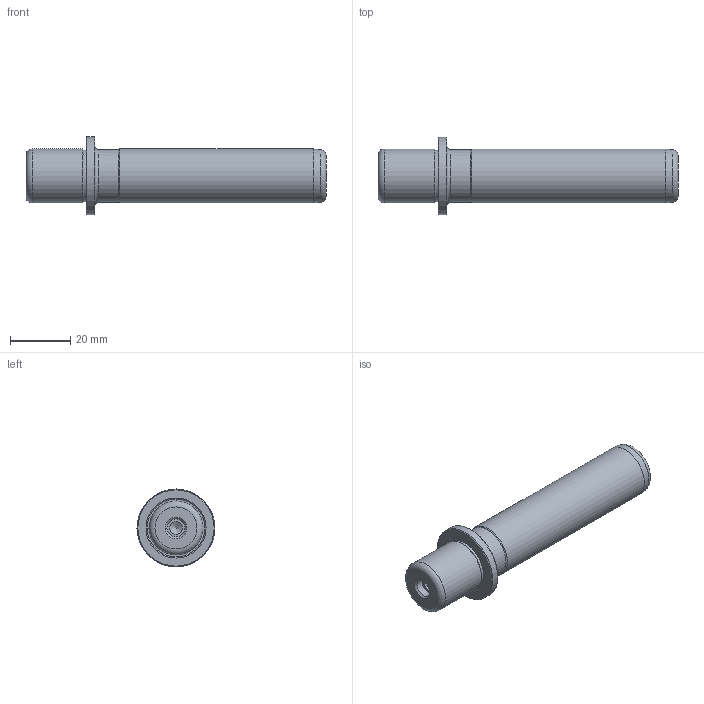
import cadquery as cq
import math

total_length = 100.0
flange_start = 20.0
flange_width = 3.0
flange_end = flange_start + flange_width
relief_length = 8.2
relief_end = flange_end + relief_length

shank_radius = 18.0 / 2
flange_radius = 26.0 / 2
relief_drop = 0.2
relief_radius = shank_radius - relief_drop

front_round = 2.0
flange_chamfer = 0.3

undercut_width = 1.0
undercut_depth = 0.4
undercut_slope = 0.3
face_recess_depth = 0.3
face_recess_inner_radius = 9.6
face_recess_outer_radius = 10.0

root_fillet = 1.0
step_slope = 0.4

lead_start = 95.8
lead_end = 98.2
lead_drop = 0.25
rear_round = total_length - lead_end

countersink_radius = 3.6
counterbore_radius = 3.0
counterbore_depth = 3.0
drill_radius = 2.1
drill_depth = 14.0
drill_point_angle = 118.0


def point_on_arc(center, radius, angle):
    """Point on a circle in the profile plane, angle in degrees."""
    return (
        center[0] + radius * math.cos(math.radians(angle)),
        center[1] + radius * math.sin(math.radians(angle)),
    )


def revolve_about_x(profile):
    return profile.close().revolve(360, (0, 0, 0), (1, 0, 0))


def make_body():
    front_center = (front_round, shank_radius - front_round)
    undercut_radius = shank_radius - undercut_depth
    undercut_start = flange_start - undercut_width
    recess_floor = flange_start + face_recess_depth
    fillet_center = (flange_end + root_fillet, relief_radius + root_fillet)
    rear_radius = shank_radius - lead_drop
    rear_center = (lead_end, rear_radius - rear_round)

    profile = (
        cq.Workplane("XY")
        .moveTo(0, 0)
        .lineTo(0, front_center[1])
        .threePointArc(point_on_arc(front_center, front_round, 135), (front_round, shank_radius))
        .lineTo(undercut_start, shank_radius)
        .lineTo(undercut_start + undercut_slope, undercut_radius)
        .lineTo(recess_floor, undercut_radius)
        .lineTo(recess_floor, face_recess_inner_radius)
        .lineTo(flange_start, face_recess_outer_radius)
        .lineTo(flange_start, flange_radius - flange_chamfer)
        .lineTo(flange_start + flange_chamfer, flange_radius)
        .lineTo(flange_end - flange_chamfer, flange_radius)
        .lineTo(flange_end, flange_radius - flange_chamfer)
        .lineTo(flange_end, fillet_center[1])
        .threePointArc(point_on_arc(fillet_center, root_fillet, 225), (fillet_center[0], relief_radius))
        .lineTo(relief_end - step_slope, relief_radius)
        .lineTo(relief_end, shank_radius)
        .lineTo(lead_start, shank_radius)
        .lineTo(lead_end, rear_radius)
        .threePointArc(point_on_arc(rear_center, rear_round, 45), (total_length, rear_center[1]))
        .lineTo(total_length, 0)
    )
    return revolve_about_x(profile)


def make_center_hole():
    countersink_depth = countersink_radius - counterbore_radius
    point_length = drill_radius / math.tan(math.radians(drill_point_angle / 2))
    profile = (
        cq.Workplane("XY")
        .moveTo(0, 0)
        .lineTo(0, countersink_radius)
        .lineTo(countersink_depth, counterbore_radius)
        .lineTo(counterbore_depth, counterbore_radius)
        .lineTo(counterbore_depth, drill_radius)
        .lineTo(drill_depth, drill_radius)
        .lineTo(drill_depth + point_length, 0)
    )
    return revolve_about_x(profile)


result = make_body().cut(make_center_hole())